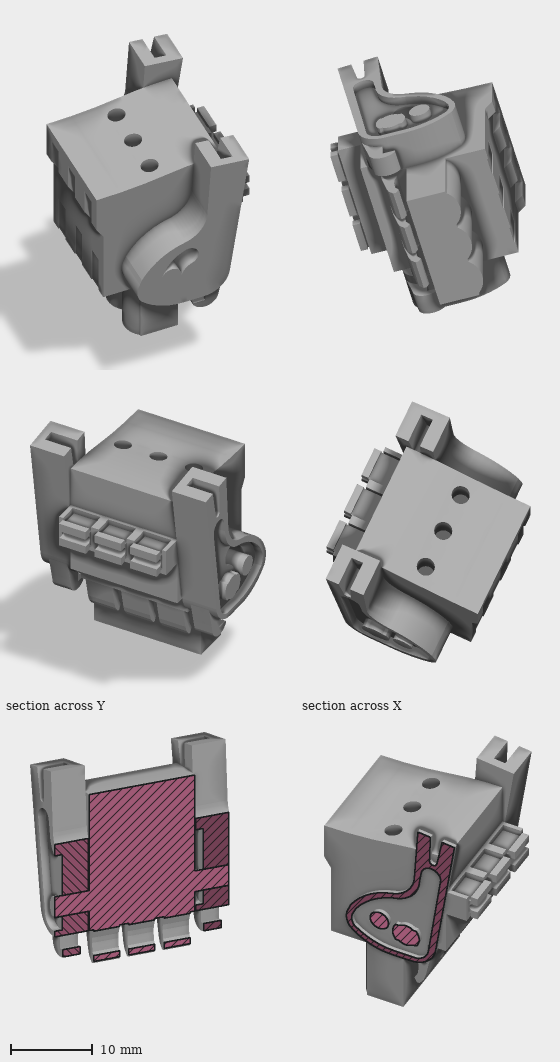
import cadquery as cq
import math


pole_pitch = 5.0
pole_places = [-pole_pitch, 0, pole_pitch]
side_gap = 0.05

housing_width = 15.03
housing_side_x = housing_width / 2
rear_y = 5.2
rear_step_z = -0.97
rear_foot_y = 2.65
base_z = -3.87
front_y = -10.65
overhang_y = -11.57
overhang_root_z = 6.23
overhang_bottom_z = 7.65

top_front_z = 12.63
top_middle_y = -1.8
top_middle_z = 13.43
top_rear_z = 14.0

ledge_y = 8.05
ledge_bottom_z = 5.0
ledge_top_z = 8.53

plug_rear_y = -0.68
plug_flat_y = -5.67
plug_front_y = -6.75
plug_bottom_z = -12.25
plug_round_width = 4.55

hole_diameter = 2.2
hole_y = -3.35
hole_floor_z = 8.85
groove_width = 2.1
upper_groove_top_z = 11.1
lower_groove_top_z = 1.15
lower_groove_depth = 0.15

tail_points = [
    (rear_foot_y, base_z),
    (2.07, -6.6),
    (1.8, -7.4),
    (1.2, -8.18),
    (0.85, -8.18),
    (0.5, -7.53),
    (0.97, -6.75),
    (1.1, -5.65),
    (1.03, -4.95),
    (0.68, base_z),
]

clip_width = 3.72
clip_slot_width = 3.93
clip_root_y = 5.6
clip_neck_bottom_z = 5.75
clip_neck_top_z = 7.75
prong_root_y = 8.3
prong_tip_y = 9.2
prong_bottom_z = 5.2
prong_top_z = 8.4
fork_gap = 1.0
fork_arc_y = 8.45
fork_floor_y = 8.1

lever_width = 4.78
lever_places = [-housing_side_x - side_gap - lever_width, housing_side_x + side_gap]
pocket_depth = 1.1
grip_slot_length = 3.7
hook_offset = 1.12
hook_width = 2.57

grip_rear_top = (6.73, 16.7)
grip_front_top = (1.62, 17.27)
plate_foot = {
    "heel": (4.13, -0.85),
    "heel_end": (0.62, base_z),
    "sole_end": (-2.07, base_z),
    "nose_low": (-7.75, -1.54),
    "nose_tip": (-8.25, 0.05),
    "nose_high": (-7.9, 1.25),
    "brow": (-7.65, 1.9),
    "brow_middle": (-5.45, 4.35),
    "waist": (-2.0, 6.0),
    "bay_middle": (0.18, 7.25),
    "neck": (1.12, 9.53),
}

pocket_rear_top = (4.75, 10.6)
pocket_crown = (3.45, 11.99)
pocket_front_top = (2.15, 10.85)
pocket_foot = {
    "heel": (3.07, -1.35),
    "heel_end": (1.35, -3.07),
    "sole_end": (-1.6, -3.07),
    "nose_low": (-7.08, -1.15),
    "nose_tip": (-7.45, 0.05),
    "nose_high": (-7.17, 0.92),
    "brow": (-6.9, 1.54),
    "brow_middle": (-5.3, 3.35),
    "waist": (-1.83, 5.25),
    "bay_middle": (0.7, 6.55),
    "neck": (1.92, 9.45),
}

slot_rear_top = (5.05, grip_front_top[1])
slot_rear_foot = (4.22, 13.05)
slot_floor = (3.75, 12.72)
slot_front_foot = (3.28, 13.17)
slot_front_top = (3.42, grip_front_top[1])

hook_back = (3.3, -4.25)
hook_back_foot = (3.0, -5.55)
hook_bottom = (1.3, -6.73)
shank_front_y = 1.33
barb_tip_y = -0.27
barb_low_z = -5.9
barb_top_z = -5.65

pivot_radius = 1.55
wing_radius = 1.85
wing_height = 2.45
cam_path_radius = 3.78
cam_pin_radius = 1.3
cam_pin_angle = 165.5
cam_slot_far_angle = 111


def side_plane(x):
    """Sketch plane at the given X whose axes are Y and Z and whose normal is +X."""
    return cq.Workplane("YZ", origin=(x, 0, 0))


def block(width, y_range, z_range, x_middle=0):
    """Box centred on x_middle that fills the given Y and Z ranges."""
    depth = y_range[1] - y_range[0]
    height = z_range[1] - z_range[0]
    box = cq.Workplane().box(width, depth, height, centered=(True, False, False))
    return box.translate((x_middle, y_range[0], z_range[0]))


def around_pivot(radius, angle):
    """Point (Y, Z) at an angle in degrees around the pivot axis."""
    turn = math.radians(angle)
    return (radius * math.cos(turn), radius * math.sin(turn))


def level_end_arc_middle(level_end, other_end):
    """Point halfway in Y on the shallow arc that is level at level_end and ends at other_end."""
    run = other_end[0] - level_end[0]
    rise = other_end[1] - level_end[1]
    radius = (run**2 + rise**2) / (2 * abs(rise))
    bow = radius - math.sqrt(radius**2 - (run / 2) ** 2)
    return (level_end[0] + run / 2, level_end[1] + math.copysign(bow, rise))


def pivot_prism(x):
    """Pivot pin shape, as long as a lever is wide plus its gap, from x towards +X."""
    length = lever_width + side_gap
    core = side_plane(x).circle(pivot_radius).extrude(length)
    wings = side_plane(x).circle(wing_radius).extrude(length)
    flats = side_plane(x).rect(2 * wing_radius, wing_height).extrude(length)
    return core.union(wings.intersect(flats))


def cam_prism(x, angle):
    """Round cam shape at an angle around the pivot axis."""
    section = side_plane(x).center(*around_pivot(cam_path_radius, angle)).circle(cam_pin_radius)
    return section.extrude(lever_width + side_gap)


def cam_slot(x):
    """Slot with round ends, concentric with the pivot."""
    middle_angle = (cam_pin_angle + cam_slot_far_angle) / 2
    inner = cam_path_radius - cam_pin_radius
    outer = cam_path_radius + cam_pin_radius
    band = (
        side_plane(x)
        .moveTo(*around_pivot(inner, cam_pin_angle))
        .threePointArc(around_pivot(inner, middle_angle), around_pivot(inner, cam_slot_far_angle))
        .lineTo(*around_pivot(outer, cam_slot_far_angle))
        .threePointArc(around_pivot(outer, middle_angle), around_pivot(outer, cam_pin_angle))
        .close()
        .extrude(lever_width + side_gap)
    )
    return band.union(cam_prism(x, cam_pin_angle)).union(cam_prism(x, cam_slot_far_angle))




def housing_block():
    top_front = (overhang_y, top_front_z)
    top_middle = (top_middle_y, top_middle_z)
    top_rear = (rear_y, top_rear_z)
    return (
        side_plane(-housing_side_x)
        .moveTo(*top_rear)
        .lineTo(rear_y, rear_step_z)
        .lineTo(rear_foot_y, rear_step_z)
        .lineTo(rear_foot_y, base_z)
        .lineTo(front_y, base_z)
        .lineTo(front_y, overhang_root_z)
        .lineTo(overhang_y, overhang_bottom_z)
        .lineTo(*top_front)
        .threePointArc(level_end_arc_middle(top_front, top_middle), top_middle)
        .threePointArc(level_end_arc_middle(top_rear, top_middle), top_rear)
        .close()
        .extrude(housing_width)
    )


def plug_round(x):
    """Rounded front of the plug for one pole."""
    half_width = plug_round_width / 2
    return (
        cq.Workplane("XY", origin=(x, 0, plug_bottom_z))
        .moveTo(-half_width, plug_flat_y)
        .threePointArc((0, plug_front_y), (half_width, plug_flat_y))
        .close()
        .extrude(base_z - plug_bottom_z)
    )


def tail(x):
    """Hooked tail for one pole."""
    return side_plane(x - clip_width / 2).polyline(tail_points).close().extrude(clip_width)


def screw_hole(x):
    mouth = cq.Workplane("XY", origin=(x, hole_y, hole_floor_z)).circle(hole_diameter / 2)
    return mouth.extrude(top_rear_z - hole_floor_z)


def front_grooves(x):
    """Groove through the overhang and shallow groove at the foot of the front."""
    upper = block(groove_width, (overhang_y, front_y), (overhang_root_z, upper_groove_top_z), x)
    lower_y_range = (front_y, front_y + lower_groove_depth)
    lower = block(groove_width, lower_y_range, (base_z, lower_groove_top_z), x)
    return upper.union(lower)


def clip_slot(x):
    return block(clip_slot_width, (clip_root_y, ledge_y), (clip_neck_bottom_z, ledge_top_z), x)


def make_housing():
    body = housing_block()
    body = body.union(block(housing_width, (rear_y, ledge_y), (ledge_bottom_z, ledge_top_z)))
    body = body.union(block(housing_width, (plug_flat_y, plug_rear_y), (plug_bottom_z, base_z)))
    for x in pole_places:
        body = body.union(plug_round(x)).union(tail(x))
        body = body.cut(screw_hole(x)).cut(front_grooves(x)).cut(clip_slot(x))
    for pin_x in (lever_places[0], housing_side_x):
        body = body.union(pivot_prism(pin_x)).union(cam_prism(pin_x, cam_pin_angle))
    return body




def make_clip(x):
    """Clip that sits in its ledge slot and ends in a forked head."""
    neck = block(clip_width, (clip_root_y, prong_root_y), (clip_neck_bottom_z, clip_neck_top_z), x)
    head = block(clip_width, (prong_root_y, prong_tip_y), (prong_bottom_z, prong_top_z), x)
    fork_z = (prong_bottom_z + prong_top_z) / 2
    fork_bottom_z = fork_z - fork_gap / 2
    fork_top_z = fork_z + fork_gap / 2
    fork = (
        side_plane(x - clip_width / 2)
        .moveTo(prong_tip_y, fork_bottom_z)
        .lineTo(fork_arc_y, fork_bottom_z)
        .threePointArc((fork_floor_y, fork_z), (fork_arc_y, fork_top_z))
        .lineTo(prong_tip_y, fork_top_z)
        .close()
        .extrude(clip_width)
    )
    return neck.union(head).cut(fork)




def draw_foot(sketch, foot):
    """Continue a sketch down the rear, around the foot and up to the neck of a lever outline."""
    return (
        sketch.lineTo(*foot["heel"])
        .tangentArcPoint(foot["heel_end"], relative=False)
        .lineTo(*foot["sole_end"])
        .tangentArcPoint(foot["nose_low"], relative=False)
        .threePointArc(foot["nose_tip"], foot["nose_high"])
        .lineTo(*foot["brow"])
        .threePointArc(foot["brow_middle"], foot["waist"])
        .threePointArc(foot["bay_middle"], foot["neck"])
    )


def lever_plate(outer_x):
    outline = draw_foot(side_plane(outer_x).moveTo(*grip_rear_top), plate_foot)
    return outline.lineTo(*grip_front_top).close().extrude(lever_width)


def lever_pocket(outer_x):
    outline = draw_foot(side_plane(outer_x).moveTo(*pocket_rear_top), pocket_foot)
    outline = outline.lineTo(*pocket_front_top).threePointArc(pocket_crown, pocket_rear_top)
    return outline.close().extrude(pocket_depth)


def grip_slot(outer_x):
    """Tapered slot with a round floor, open at the top of the grip."""
    return (
        side_plane(outer_x)
        .moveTo(*slot_rear_top)
        .lineTo(*slot_rear_foot)
        .threePointArc(slot_floor, slot_front_foot)
        .lineTo(*slot_front_top)
        .close()
        .extrude(grip_slot_length)
    )


def latch_hook(outer_x):
    """Hook below the heel; its shank starts inside the plate."""
    return (
        side_plane(outer_x + hook_offset)
        .moveTo(*plate_foot["heel"])
        .lineTo(*hook_back)
        .lineTo(*hook_back_foot)
        .threePointArc(hook_bottom, (barb_tip_y, barb_low_z))
        .lineTo(barb_tip_y, barb_top_z)
        .lineTo(shank_front_y, barb_top_z)
        .lineTo(shank_front_y, plate_foot["heel"][1])
        .close()
        .extrude(hook_width)
    )


def make_lever(outer_x):
    """Lever whose pocketed face lies at outer_x and which reaches from there towards +X."""
    body = lever_plate(outer_x).union(latch_hook(outer_x))
    body = body.cut(lever_pocket(outer_x)).cut(grip_slot(outer_x))
    return body.cut(pivot_prism(outer_x)).cut(cam_slot(outer_x))



housing = make_housing()
levers = [make_lever(x) for x in lever_places]
clips = [make_clip(x) for x in pole_places]

result = cq.Compound.makeCompound(
    [housing.val(), *[lever.val() for lever in levers], *[clip.val() for clip in clips]]
)